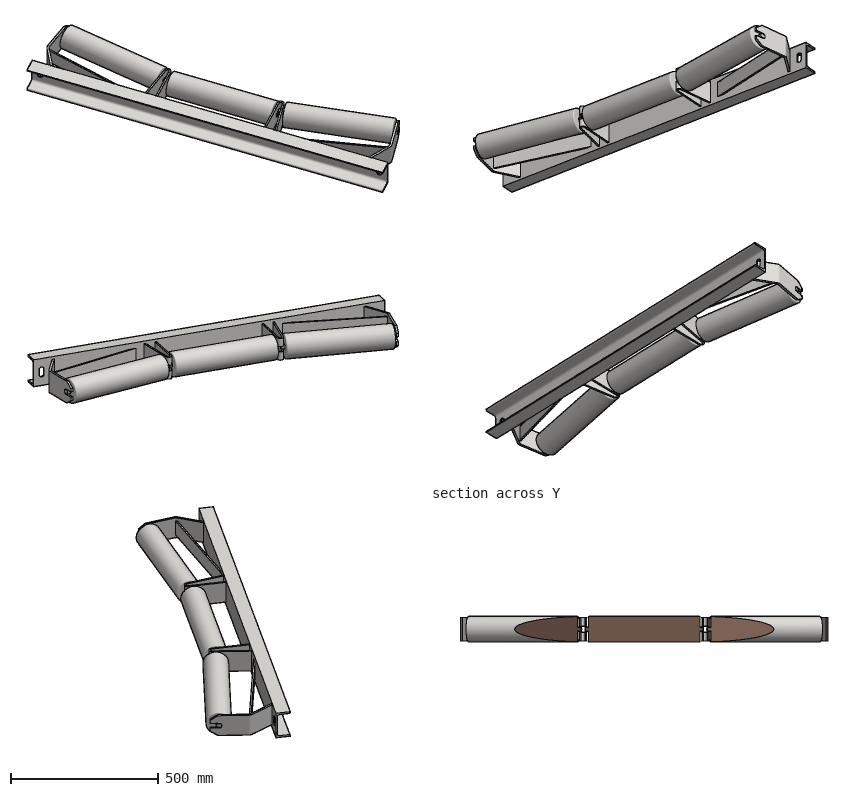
import cadquery as cq
import math

CHANNEL_LENGTH = 1300.0
CHANNEL_HEIGHT = 100.0
FLANGE_DEPTH = CHANNEL_HEIGHT / 2
WEB_THICKNESS = 5.0
FLANGE_THICKNESS = 7.5
ROOT_RADIUS = 8.0
FLANGE_TIP_RADIUS = 5.0
MOUNT_SLOT_HEIGHT = 36.0
MOUNT_SLOT_WIDTH = 18.0
MOUNT_SLOT_INSET = 30.0

ROLLER_DIAMETER = 88.0
ROLLER_LENGTH = 380.0
ROLLER_EDGE_RADIUS = 4.0
END_GAP = 5.0
CENTRE_ROLLER_Y = 115.0
WING_X = 412.0
WING_Y = 155.0
WING_TILT = 10.0

SHAFT_DIAMETER = 20.0
SHAFT_FLAT_WIDTH = 14.0

STRIP_WIDTH = 80.0
INNER_THICKNESS = 6.0
INNER_TOP_Y = 142.0
OUTER_THICKNESS = 8.0
OUTER_TOP_RISE = 30.0
OUTER_BEND_X = 630.0
FOOT_ANGLE = 30.0
BEND_INSIDE_RADIUS = 9.0
TOP_CHAMFER_LENGTH = 26.0
TOP_CHAMFER_WIDTH = 18.0
STRUT_THICKNESS = 6.0
STRUT_ANGLE = 14.0
STRUT_TOE_X = 272.0
STRUT_WIDTH = 57.0

TILT = math.radians(WING_TILT)
FOOT = math.radians(FOOT_ANGLE)
SLOPE = math.radians(STRUT_ANGLE)
BRACKET_FACE = ROLLER_LENGTH / 2 + END_GAP
INNER_SHAFT_END = BRACKET_FACE + INNER_THICKNESS
OUTER_SHAFT_END = BRACKET_FACE + OUTER_THICKNESS

WING_PLANE = cq.Plane(
    origin=(-WING_X, WING_Y, 0),
    xDir=(math.cos(TILT), -math.sin(TILT), 0),
    normal=(0, 0, 1),
)
CENTRE_PLANE = cq.Plane(origin=(0, CENTRE_ROLLER_Y, 0))

FOLD_RADIUS = (
    (WING_X - BRACKET_FACE) * math.cos(TILT) - (INNER_TOP_Y - WING_Y) * math.sin(TILT) - BRACKET_FACE
) / (1 + math.cos(TILT) - math.sin(TILT))


def on_side(left_body, side):
    """Return the left-hand body itself, or its mirror image for the right-hand side."""
    return left_body if side < 0 else left_body.mirror("YZ")


def make_channel():
    half_height = CHANNEL_HEIGHT / 2
    inner_height = CHANNEL_HEIGHT - 2 * FLANGE_THICKNESS
    channel = (
        cq.Workplane("XY")
        .box(CHANNEL_LENGTH, FLANGE_DEPTH, CHANNEL_HEIGHT)
        .translate((0, -FLANGE_DEPTH / 2, 0))
    )
    hollow = (
        cq.Workplane("XY")
        .box(CHANNEL_LENGTH, FLANGE_DEPTH, inner_height)
        .translate((0, -FLANGE_DEPTH / 2 - WEB_THICKNESS, 0))
        .edges("|X and >Y")
        .fillet(ROOT_RADIUS)
    )
    channel = channel.cut(hollow)
    for side in (-1, 1):
        inner_tip = (0, -FLANGE_DEPTH, side * (half_height - FLANGE_THICKNESS))
        channel = channel.edges(cq.NearestToPointSelector(inner_tip)).fillet(FLANGE_TIP_RADIUS)

    slot_x = CHANNEL_LENGTH / 2 - MOUNT_SLOT_INSET
    slots = (
        cq.Workplane("XZ")
        .pushPoints([(-slot_x, 0), (slot_x, 0)])
        .slot2D(MOUNT_SLOT_HEIGHT, MOUNT_SLOT_WIDTH, 90)
        .extrude(WEB_THICKNESS)
    )
    return channel.cut(slots)


def make_roller(plane, left_end, right_end):
    """Roller on the local x axis of a plane, with shaft ends flattened on both z sides."""
    across = cq.Plane(origin=plane.origin, xDir=-plane.yDir, normal=plane.xDir)
    shell = (
        cq.Workplane(across)
        .workplane(offset=-ROLLER_LENGTH / 2)
        .circle(ROLLER_DIAMETER / 2)
        .extrude(ROLLER_LENGTH)
        .faces("<X or >X")
        .edges()
        .fillet(ROLLER_EDGE_RADIUS)
    )
    shaft_length = left_end + right_end
    shaft_start = cq.Workplane(across).workplane(offset=-left_end)
    shaft_blank = shaft_start.circle(SHAFT_DIAMETER / 2).extrude(shaft_length)
    flats = shaft_start.rect(SHAFT_DIAMETER, SHAFT_FLAT_WIDTH).extrude(shaft_length)
    return shell.union(shaft_blank.intersect(flats))


def shaft_slot(plane):
    """Cutter for round-bottomed slots that are open upwards at both ends of a roller's shaft."""
    half_length = OUTER_SHAFT_END + FOLD_RADIUS
    radius = SHAFT_DIAMETER / 2
    across = cq.Plane(origin=plane.origin, xDir=plane.yDir, normal=plane.xDir)
    return (
        cq.Workplane(across)
        .moveTo(ROLLER_DIAMETER, radius)
        .lineTo(0, radius)
        .threePointArc((-radius, 0), (0, -radius))
        .lineTo(ROLLER_DIAMETER, -radius)
        .close()
        .extrude(half_length, both=True)
    )


def make_inner_bracket():
    """Left inverted-U bracket: upright leg for the centre roller, tilted leg for the wing roller."""
    fold_x = -BRACKET_FACE - FOLD_RADIUS
    fold_y = INNER_TOP_Y - FOLD_RADIUS

    def hairpin(radius):
        """Solid bounded by the fold arc of one radius and the two leg faces tangent to it."""
        upright_x = fold_x + radius
        tangent_x = fold_x - radius * math.cos(TILT)
        tangent_y = fold_y + radius * math.sin(TILT)
        return (
            cq.Workplane("XY")
            .moveTo(upright_x, 0)
            .lineTo(upright_x, fold_y)
            .threePointArc((fold_x, fold_y + radius), (tangent_x, tangent_y))
            .lineTo(tangent_x - tangent_y * math.tan(TILT), 0)
            .close()
            .extrude(STRIP_WIDTH / 2, both=True)
        )

    bracket = hairpin(FOLD_RADIUS).cut(hairpin(FOLD_RADIUS - INNER_THICKNESS))
    return bracket.cut(shaft_slot(CENTRE_PLANE)).cut(shaft_slot(WING_PLANE))


def chamfer_top(bracket, side):
    """Slice one upper corner off the plate of the left outer bracket."""
    half_width = STRIP_WIDTH / 2
    end_plane = cq.Plane(origin=WING_PLANE.origin, xDir=WING_PLANE.yDir, normal=WING_PLANE.xDir)
    wedge = (
        cq.Workplane(end_plane)
        .polyline([
            (OUTER_TOP_RISE, side * half_width),
            (OUTER_TOP_RISE - TOP_CHAMFER_LENGTH, side * half_width),
            (OUTER_TOP_RISE, side * (half_width - TOP_CHAMFER_WIDTH)),
        ])
        .close()
        .extrude(-OUTER_SHAFT_END)
    )
    return bracket.cut(wedge)


def make_outer_bracket():
    """Left outer bracket: a plate square to the wing roller, bent inwards to a sloping foot."""
    top_outer = WING_PLANE.toWorldCoords((-OUTER_SHAFT_END, OUTER_TOP_RISE))
    top_inner = WING_PLANE.toWorldCoords((-BRACKET_FACE, OUTER_TOP_RISE))
    bend_outer = cq.Vector(-OUTER_BEND_X, top_outer.y - (top_outer.x + OUTER_BEND_X) / math.tan(TILT))
    bend_span = OUTER_THICKNESS / math.cos((FOOT + TILT) / 2)
    bisector = (FOOT - TILT) / 2
    bend_inner = bend_outer + cq.Vector(math.cos(bisector), math.sin(bisector)) * bend_span
    toe_outer_x = bend_outer.x + bend_outer.y * math.tan(FOOT)
    toe_inner_x = toe_outer_x + OUTER_THICKNESS / math.cos(FOOT)
    bracket = (
        cq.Workplane("XY")
        .polyline([
            top_outer.toTuple()[:2],
            bend_outer.toTuple()[:2],
            (toe_outer_x, 0),
            (toe_inner_x, 0),
            bend_inner.toTuple()[:2],
            top_inner.toTuple()[:2],
        ])
        .close()
        .extrude(STRIP_WIDTH / 2, both=True)
    )
    bends = [(bend_outer, BEND_INSIDE_RADIUS + OUTER_THICKNESS), (bend_inner, BEND_INSIDE_RADIUS)]
    for corner, radius in bends:
        bracket = bracket.edges(cq.NearestToPointSelector(corner.toTuple())).fillet(radius)
    for side in (-1, 1):
        bracket = chamfer_top(bracket, side)
    return bracket.cut(shaft_slot(WING_PLANE))


def make_strut(outer_bracket):
    """Left strut: a sloping strip from the channel to the inside of the outer bracket's bend."""
    rise = (OUTER_BEND_X - STRUT_TOE_X) * math.tan(SLOPE)
    drop = STRUT_THICKNESS / math.cos(SLOPE)
    heel_x = -STRUT_TOE_X - STRUT_THICKNESS / math.sin(SLOPE)
    strip = (
        cq.Workplane("XY")
        .polyline([
            (-STRUT_TOE_X, 0),
            (-OUTER_BEND_X, rise),
            (-OUTER_BEND_X, rise - drop),
            (heel_x, 0),
        ])
        .close()
        .extrude(STRUT_WIDTH / 2, both=True)
    )
    return strip.cut(outer_bracket).solids(">X")


channel = make_channel()
centre_roller = make_roller(CENTRE_PLANE, INNER_SHAFT_END, INNER_SHAFT_END)
left_wing_roller = make_roller(WING_PLANE, OUTER_SHAFT_END, INNER_SHAFT_END)
left_inner_bracket = make_inner_bracket()
left_outer_bracket = make_outer_bracket()
left_strut = make_strut(left_outer_bracket)

bodies = [channel.val(), centre_roller.val()]
for side in (-1, 1):
    for left_body in (left_wing_roller, left_inner_bracket, left_outer_bracket, left_strut):
        bodies.append(on_side(left_body, side).val())

result = cq.Compound.makeCompound(bodies)